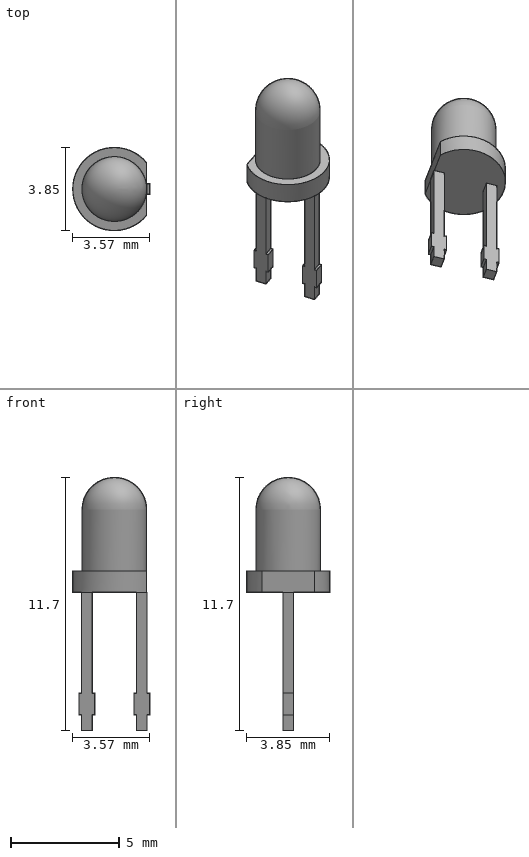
import cadquery as cq

total_height = 11.7
lens_diameter = 3.0
lens_radius = lens_diameter / 2
flange_diameter = 3.85
flange_height = 1.0
lens_straight_height = 2.82
flat_offset = lens_radius

lead_pitch = 2.54
lead_width = 0.5
stop_width = 0.74
stop_bottom = 0.73
stop_height = 1.01
lead_length = total_height - lens_radius - lens_straight_height - flange_height


def make_flange():
    """Round flange with one flat on the +X side."""
    disc = cq.Workplane("XY").circle(flange_diameter / 2).extrude(flange_height)
    keep = (
        cq.Workplane("XY")
        .box(flange_diameter, flange_diameter, flange_height, centered=(True, True, False))
        .translate((flat_offset - flange_diameter / 2, 0, 0))
    )
    return disc.intersect(keep).translate((0, 0, lead_length))


def make_lens():
    """Cylinder with a hemispherical dome, revolved about Z and standing on the flange."""
    lens_bottom = lead_length + flange_height
    dome_bottom = lens_bottom + lens_straight_height
    return (
        cq.Workplane("XZ")
        .moveTo(0, lens_bottom)
        .lineTo(lens_radius, lens_bottom)
        .lineTo(lens_radius, dome_bottom)
        .radiusArc((0, total_height), -lens_radius)
        .close()
        .revolve(360, (0, 0, 0), (0, 1, 0))
    )


def make_lead(x):
    """Square lead with a wider stop near its free end."""
    pin = cq.Workplane("XY").box(lead_width, lead_width, lead_length, centered=(True, True, False))
    stop = (
        cq.Workplane("XY")
        .box(stop_width, lead_width, stop_height, centered=(True, True, False))
        .translate((0, 0, stop_bottom))
    )
    return pin.union(stop).translate((x, 0, 0))


result = make_flange().union(make_lens())
for side in (-1, 1):
    result = result.union(make_lead(side * lead_pitch / 2))